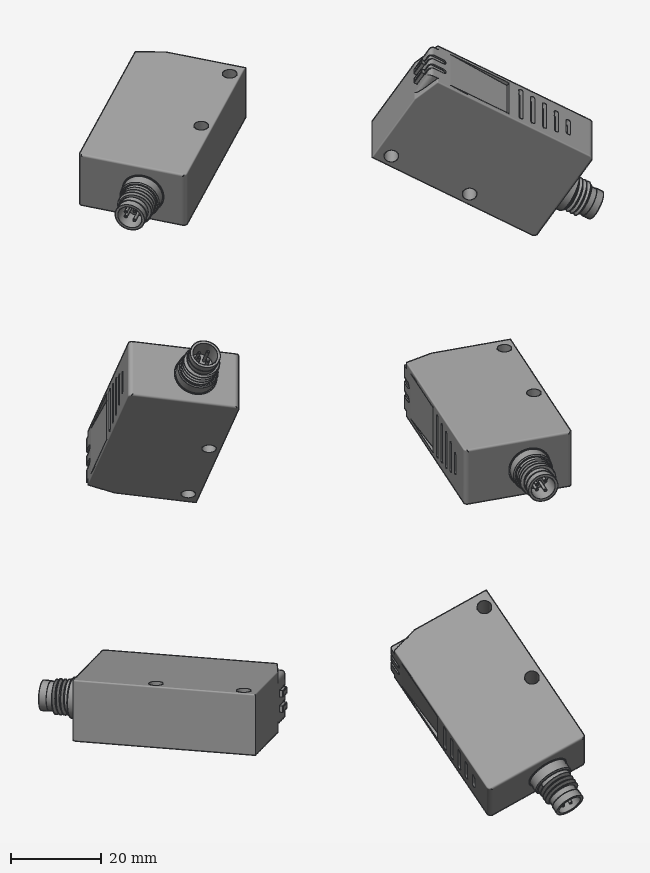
import cadquery as cq

width = 25.0
length = 42.0
height = 14.0
edge_radius = 0.3
front_edge_radius = 0.45
front_corner_radius = 1.05
left_x = -width / 2
right_x = width / 2

bevel_x = 6.5
bevel_y = 2.0
lens_height = 11.0
lens_radius = 1.05
lens_overlap = 1.05

hole_diameter = 3.2
hole_inset = 2.6
hole_back_inset = 3.45
hole_spacing = 20.05

indicator_width = 1.45
indicator_spacing = 3.5
indicator_length = 4.1
indicator_depth = 0.35
indicator_back_depth = 0.15
indicator_floor_radius = 0.65
tab_inset = 2.35
tab_width = 3.25
tab_height = 0.9
tab_root = 0.5
tab_chamfer_length = 0.2
tab_chamfer_inset = 0.1

label_start = 21.75
label_length = 14.95
label_height = 11.6
label_depth = 0.85

slot_heights = [5.5, 7.8, 9.35, 10.0, 10.95]
slot_width = 1.05
slot_depth = 1.3
slot_pitch = 3.05
first_slot_y = 6.6

connector_x = 2.5
connector_length = 9.4
flange_diameter = 9.6
flange_length = 0.15
collar_diameter = 9.1
collar_length = 2.7
collar_chamfer = 0.25
thread_diameter = 8.0
thread_root_diameter = 6.6
thread_end = 6.35
thread_pitch = 1.0
thread_groove_width = 0.9
groove_overshoot = 1.05
thread_start = 3.15
thread_start_angle = 145
neck_diameter = 6.55
tip_diameter = 6.8
tip_start = 7.7
bore_diameter = 5.55
bore_depth = 4.7
pin_diameter = 0.7
pin_recess = 0.7
pin_chamfer = 0.1
pin_positions = [(-1.2, 0.65), (-1.2, -0.65), (0.8, 1.2), (0.8, -1.2)]


def make_case():
    """Beveled box with small rounded edges and larger front corners."""
    outline = [
        (left_x, 0),
        (right_x, 0),
        (right_x, length),
        (left_x + bevel_x, length),
        (left_x, length - bevel_y),
    ]
    case = cq.Workplane("XY").polyline(outline).close().extrude(height / 2, both=True)
    case = case.edges("|Z and <Y").fillet(front_corner_radius)
    bevel_corner = cq.selectors.NearestToPointSelector((left_x, length - bevel_y, 0))
    case = case.edges(bevel_corner).fillet(edge_radius)
    case = case.faces("<Z or >Z").edges().fillet(edge_radius)
    envelope = (
        cq.Workplane("XY")
        .box(width, length, height, centered=(True, False, True))
        .edges("|X and <Y")
        .fillet(front_edge_radius)
    )
    return case.intersect(envelope)


def make_lens():
    """Block under the bevel with its corner and both ledge edges rounded."""
    start_y = length - bevel_y - lens_overlap
    block = cq.Workplane("XY").box(
        bevel_x + lens_overlap,
        bevel_y + lens_overlap,
        lens_height,
        centered=(False, False, True),
    )
    rounded_plan = block.edges("|Z and <X and >Y").fillet(lens_radius)
    rounded_side = block.edges("|X and >Y").fillet(lens_radius)
    return rounded_plan.intersect(rounded_side).translate((left_x, start_y, 0))


def make_indicator_groove(z):
    """Round-ended shallow groove from the left side round the corner to the tab."""
    core = (
        cq.Workplane("XY")
        .box(width, length, height, centered=(False, False, True))
        .edges("|Z and <X and >Y")
        .fillet(indicator_floor_radius)
        .translate((left_x + indicator_depth, -indicator_back_depth, 0))
    )
    band = (
        cq.Workplane("YZ", origin=(left_x, length, z))
        .slot2D(2 * indicator_length, indicator_width)
        .extrude(tab_inset)
    )
    return band.cut(core)


def make_tab(z):
    """Tab standing out of the back face at the end of a groove."""
    return (
        cq.Workplane("XY")
        .box(tab_width, tab_height + tab_root, indicator_width, centered=(False, False, True))
        .faces(">Y")
        .chamfer(tab_chamfer_length, tab_chamfer_inset)
        .translate((left_x + tab_inset, length - tab_root, z))
    )


def make_label_recess():
    """Wedge with no depth at its back end and full depth at its connector end."""
    label_end = label_start + label_length
    return (
        cq.Workplane("XY")
        .moveTo(left_x, label_end)
        .lineTo(left_x, label_start)
        .lineTo(left_x + label_depth, label_start)
        .close()
        .extrude(label_height / 2, both=True)
    )


def make_grip_slot(index):
    """Upright round-ended slot; slots grow taller away from the connector."""
    slot_y = first_slot_y + index * slot_pitch
    return (
        cq.Workplane("YZ", origin=(left_x, slot_y, 0))
        .slot2D(slot_heights[index], slot_width, 90)
        .extrude(slot_depth)
    )


def make_mounting_holes():
    """Two through holes along the right side."""
    hole_x = right_x - hole_inset
    back_y = length - hole_back_inset
    return (
        cq.Workplane("XY", origin=(0, 0, -height / 2))
        .pushPoints([(hole_x, back_y), (hole_x, back_y - hole_spacing)])
        .circle(hole_diameter / 2)
        .extrude(height)
    )


def make_cylinder(diameter, start, end):
    """Cylinder on the connector axis, which is built along +Z."""
    return cq.Workplane("XY").workplane(offset=start).circle(diameter / 2).extrude(end - start)


def make_thread():
    """Threaded barrel: a helical V groove running out through its free end."""
    root_radius = thread_root_diameter / 2
    groove_depth = thread_diameter / 2 - root_radius
    mouth_radius = root_radius + groove_overshoot * groove_depth
    half_mouth = groove_overshoot * thread_groove_width / 2
    groove_rise = thread_end + thread_pitch - thread_start
    helix = cq.Wire.makeHelix(thread_pitch, groove_rise, root_radius)
    groove = (
        cq.Workplane("XZ")
        .moveTo(root_radius, 0)
        .lineTo(mouth_radius, half_mouth)
        .lineTo(mouth_radius, -half_mouth)
        .close()
        .sweep(cq.Workplane(helix), isFrenet=True)
        .translate((0, 0, thread_start))
    )
    barrel = make_cylinder(thread_diameter, collar_length, thread_end).cut(groove)
    return barrel.rotate((0, 0, 0), (0, 0, 1), thread_start_angle)


def make_connector():
    """Plug with flange, collar, thread, neck and pins inside an open tip."""
    bore_floor = connector_length - bore_depth
    plug = make_cylinder(flange_diameter, -flange_length, flange_length)
    plug = plug.union(make_cylinder(collar_diameter, 0, collar_length).faces(">Z").chamfer(collar_chamfer))
    plug = plug.union(make_thread())
    plug = plug.union(make_cylinder(neck_diameter, 0, tip_start))
    plug = plug.union(make_cylinder(tip_diameter, tip_start, connector_length))
    plug = plug.cut(make_cylinder(bore_diameter, bore_floor, connector_length))
    pins = (
        cq.Workplane("XY")
        .workplane(offset=bore_floor)
        .pushPoints(pin_positions)
        .circle(pin_diameter / 2)
        .extrude(bore_depth - pin_recess)
        .faces(">Z")
        .chamfer(pin_chamfer)
    )
    plug = plug.union(pins)
    return plug.rotate((0, 0, 0), (1, 0, 0), 90).translate((connector_x, 0, 0))


result = make_case().union(make_lens()).cut(make_label_recess()).cut(make_mounting_holes())
for slot_index in range(len(slot_heights)):
    result = result.cut(make_grip_slot(slot_index))
for indicator_z in (-indicator_spacing / 2, indicator_spacing / 2):
    result = result.cut(make_indicator_groove(indicator_z)).union(make_tab(indicator_z))
result = result.union(make_connector())